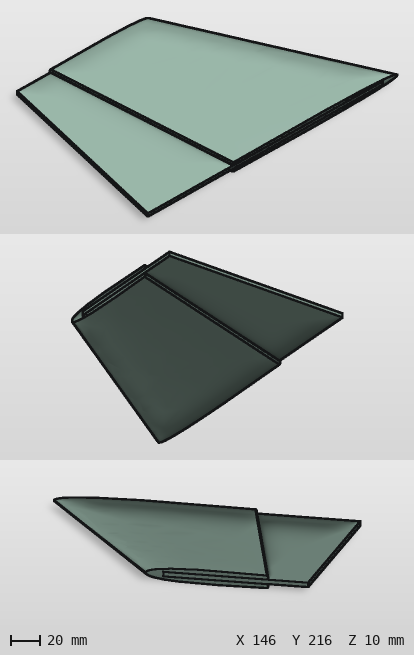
import cadquery as cq

span = 146.0
short_end_nose_y = 114.5
long_end_nose_y = 216.0
short_end_tail_y = 28.0
long_end_tail_y = 73.0

tail_thickness = 9.0
tail_bulge = 1.0

nose_handle_height = 7.5
tail_handle_height = 4.3
tail_handle_fraction = 0.94

core_thickness = 3.2
core_nose_setback = 12.5


def blade_section(x, nose_y, tail_y):
    """Closed wire of the blade section at one end of the span."""
    half_tail = tail_thickness / 2
    half_core = core_thickness / 2
    lip_middle = (half_tail + half_core) / 2

    lip_root_y = tail_y + tail_bulge
    tail_handle_y = nose_y - tail_handle_fraction * (nose_y - lip_root_y)

    upper_skin = [
        (lip_root_y, half_tail),
        (tail_handle_y, tail_handle_height),
        (nose_y, nose_handle_height),
        (nose_y, 0),
    ]
    lower_skin = [(y, -z) for y, z in reversed(upper_skin)]

    return (
        cq.Workplane("YZ", origin=(x, 0, 0))
        .bezier(upper_skin)
        .bezier(lower_skin)
        .threePointArc((tail_y, -lip_middle), (lip_root_y, -half_core))
        .lineTo(lip_root_y, half_core)
        .threePointArc((tail_y, lip_middle), (lip_root_y, half_tail))
        .close()
        .val()
    )


def make_core():
    """Flat plate with a square rear edge and a front edge parallel to the blade nose."""
    return (
        cq.Workplane("XY", origin=(0, 0, -core_thickness / 2))
        .polyline(
            [
                (0, 0),
                (span, 0),
                (span, long_end_nose_y - core_nose_setback),
                (0, short_end_nose_y - core_nose_setback),
            ]
        )
        .close()
        .extrude(core_thickness)
    )


def make_blade(core):
    """Tapered blade lofted straight between its end sections, slotted to fit the core."""
    short_end = blade_section(0, short_end_nose_y, short_end_tail_y)
    long_end = blade_section(span, long_end_nose_y, long_end_tail_y)
    blade = cq.Workplane(cq.Solid.makeLoft([short_end, long_end], True))
    return blade.cut(core).solids()


core = make_core()
blade = make_blade(core)

result = cq.Compound.makeCompound([blade.val(), core.val()])